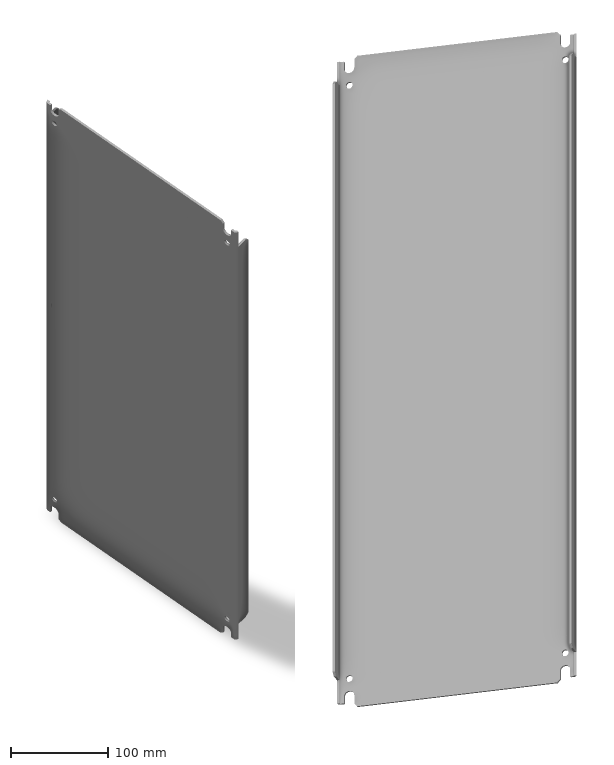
import cadquery as cq

WIDTH = 258.32
DEPTH = 19.05
HEIGHT = 715.52

THICKNESS = 2.41
INNER_RADIUS = 1.4
OUTER_RADIUS = INNER_RADIUS + THICKNESS

SIDE_STRIP_SETBACK = 4.8
FLANGE_SETBACK = 30.5
FLANGE_CHAMFER = 4.0
TAB_CHAMFER = 3.2

FIXING_X = 116.7
SLOT_WIDTH = 11.0
SLOT_DEPTH = 17.9
HOLE_DIAMETER = 7.2
HOLE_SETBACK = 31.5


def make_channel():
    """Sheet bent into a shallow channel, extruded along the side strip length."""
    length = HEIGHT - 2 * SIDE_STRIP_SETBACK
    outer = cq.Workplane("XY").box(WIDTH, DEPTH, length, centered=(True, False, True))
    outer = outer.edges("|Z and <Y").fillet(OUTER_RADIUS)
    inner = (
        cq.Workplane("XY")
        .box(WIDTH - 2 * THICKNESS, DEPTH, length, centered=(True, False, True))
        .edges("|Z and <Y")
        .fillet(INNER_RADIUS)
        .translate((0, THICKNESS, 0))
    )
    return outer.cut(inner)


def make_tab_sheet():
    """Central sheet with chamfered corners, reaching the full panel height between the slots."""
    tab_width = 2 * FIXING_X - SLOT_WIDTH
    sheet = cq.Workplane("XY").box(tab_width, THICKNESS, HEIGHT, centered=(True, False, True))
    return sheet.edges("|Y").chamfer(TAB_CHAMFER)


def trim_flanges(panel):
    """Shorten both flanges above the bend and chamfer their free corners."""
    half_flange = HEIGHT / 2 - FLANGE_SETBACK
    half_height = HEIGHT / 2
    waste = (
        cq.Workplane("YZ")
        .moveTo(OUTER_RADIUS, half_height)
        .lineTo(OUTER_RADIUS, half_flange)
        .lineTo(DEPTH - FLANGE_CHAMFER, half_flange)
        .lineTo(DEPTH, half_flange - FLANGE_CHAMFER)
        .lineTo(DEPTH, half_height)
        .close()
        .extrude(WIDTH / 2, both=True)
    )
    return panel.cut(waste).cut(waste.mirror("XY"))


def cut_fixings(panel):
    """Cut an open round-bottomed slot and a round hole at each of the four corners."""
    half_height = HEIGHT / 2
    slot_radius = SLOT_WIDTH / 2
    arc_start = half_height - SLOT_DEPTH + slot_radius
    slot = (
        cq.Workplane("XZ", origin=(FIXING_X, 0, 0))
        .moveTo(-slot_radius, half_height)
        .lineTo(-slot_radius, arc_start)
        .threePointArc((0, half_height - SLOT_DEPTH), (slot_radius, arc_start))
        .lineTo(slot_radius, half_height)
        .close()
        .extrude(-OUTER_RADIUS)
    )
    hole = (
        cq.Workplane("XZ", origin=(FIXING_X, 0, half_height - HOLE_SETBACK))
        .circle(HOLE_DIAMETER / 2)
        .extrude(-OUTER_RADIUS)
    )
    right_side = [slot, hole, slot.mirror("XY"), hole.mirror("XY")]
    for cutter in right_side:
        panel = panel.cut(cutter).cut(cutter.mirror("YZ"))
    return panel


panel = make_channel().union(make_tab_sheet())
panel = trim_flanges(panel)
result = cut_fixings(panel)